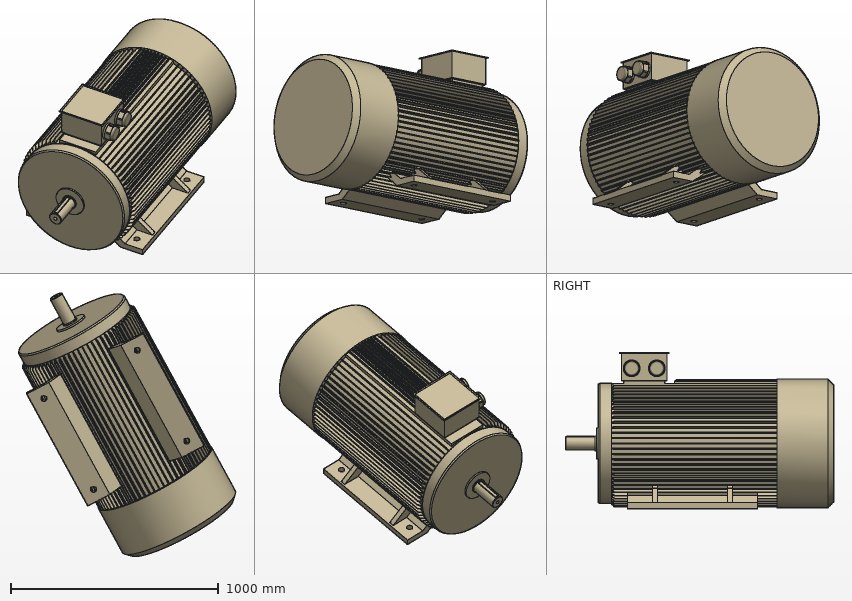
import cadquery as cq
import math


shaft_radius = 32.0
shaft_length = 140.0
collar_radius = 36.0
centre_hole_radius = 8.4
centre_hole_depth = 39.0
shaft_tip_chamfer = 3.0
key_width = 18.0
key_length = 129.0
key_front = 5.0
key_top = 36.0
key_bottom = 25.0

hub_radius = 75.0
hub_front = 147.0
shield_radius = 290.0
shield_front = 156.0
shield_face_radius = 285.0
shield_chamfer_length = 8.0
frame_radius = 288.0
frame_front = 219.0
cowl_diameter = 620.0
cowl_front = 1017.0
cowl_chamfer = 28.0
overall_length = 1290.0

fin_count = 72
fin_pitch_angle = 360 / fin_count
fin_thickness = 4.0
fin_tip_radius = 307.0
fin_nose_radius = 292.0
fin_nose_chamfer = fin_tip_radius - fin_nose_radius
fin_root_depth = 13.0
first_fin_angle = 25.0

pad_half_width = 99.0
pad_top = 289.0
pad_bottom = 232.0
pad_front = 228.0
pad_fin_count = 9
pad_fin_pitch = 19.0
pad_fin_front = 522.0
pad_fin_chamfer = 10.0

box_y = 378.0
box_size = 219.0
box_bottom = 299.0
box_edge_chamfer = 4.0
neck_size = 2 * pad_half_width
lid_size = 236.0
lid_thickness = 3.0
lid_top = 436.0

gland_spacing = 121.0
gland_z = 361.0
washer_end = 119.0
nut_end = 147.0
gland_end = 163.0
nut_across_flats = 72.0
nut_round_diameter = 80.0
cap_radius = 35.0
cap_fillet = 4.0

shaft_height = 315.0
foot_outer_x = 317.0
foot_thickness = 31.0
foot_bend_top_x = 222.0
foot_bend_bottom_x = 196.0
foot_inner_x = 103.0
foot_front = 297.0
foot_length = 627.0
foot_slope_angle = 37.0
foot_slope = math.tan(math.radians(foot_slope_angle))
gusset_outer_x = 307.0
gusset_thickness = 26.0
gusset_spacing = 361.0
foot_hole_diameter = 28.0
foot_hole_x = 254.0
foot_hole_spacing = 508.0


def cylinder(radius, y_start, y_end):
    """Solid cylinder on the shaft axis between two Y positions."""
    return cq.Workplane("XZ", origin=(0, y_start, 0)).circle(radius).extrude(y_start - y_end)


def block(x_size, y_size, y_centre, z_bottom, z_top):
    """Block centred on x = 0."""
    return (
        cq.Workplane("XY", origin=(0, y_centre, z_bottom))
        .rect(x_size, y_size)
        .extrude(z_top - z_bottom)
    )


def make_round_body():
    hub = cylinder(hub_radius, hub_front, shield_front)
    chamfer_end = shield_front + shield_chamfer_length
    shield_outline = [
        (0, shield_front),
        (shield_face_radius, shield_front),
        (shield_radius, chamfer_end),
        (shield_radius, frame_front),
        (0, frame_front),
    ]
    shield = cq.Workplane("XY").polyline(shield_outline).close().revolve(360, (0, 0), (0, 1))
    frame = cylinder(frame_radius, frame_front, cowl_front)
    cowl = cylinder(cowl_diameter / 2, cowl_front, overall_length)
    cowl = cowl.faces(">Y").edges().chamfer(cowl_chamfer)
    return frame.union(shield).union(cowl).union(hub)


def make_shaft():
    shaft = cylinder(shaft_radius, 0, hub_front).faces("<Y").edges().chamfer(shaft_tip_chamfer)
    collar = cylinder(collar_radius, shaft_length, hub_front)
    key = block(key_width, key_length, key_front + key_length / 2, key_bottom, key_top)
    return shaft.union(collar).union(key).cut(cylinder(centre_hole_radius, 0, centre_hole_depth))


def make_radial_fin():
    """One fin standing on the top of the frame."""
    root = frame_radius - fin_root_depth
    outline = [
        (frame_front, root),
        (frame_front, fin_nose_radius),
        (frame_front + fin_nose_chamfer, fin_tip_radius),
        (cowl_front, fin_tip_radius),
        (cowl_front, root),
    ]
    return cq.Workplane("YZ").polyline(outline).close().extrude(fin_thickness / 2, both=True)


def add_radial_fins(body):
    """Fins all round the frame, except across the pad on top."""
    fin = make_radial_fin()
    used_count = fin_count + 1 - round(2 * first_fin_angle / fin_pitch_angle)
    fins = []
    for index in range(used_count):
        angle = first_fin_angle + index * fin_pitch_angle
        fins.append(fin.rotate((0, 0, 0), (0, 1, 0), angle).val())
    return cq.Workplane(body.val().fuse(*fins))


def make_pad():
    pad_length = cowl_front - pad_front
    pad = block(2 * pad_half_width, pad_length, pad_front + pad_length / 2, pad_bottom, pad_top)
    outline = [
        (pad_fin_front, pad_bottom),
        (pad_fin_front, fin_tip_radius - pad_fin_chamfer),
        (pad_fin_front + pad_fin_chamfer, fin_tip_radius),
        (cowl_front, fin_tip_radius),
        (cowl_front, pad_bottom),
    ]
    fin = cq.Workplane("YZ").polyline(outline).close().extrude(fin_thickness / 2, both=True)
    for index in range(pad_fin_count):
        x = (index - (pad_fin_count - 1) / 2) * pad_fin_pitch
        pad = pad.union(fin.translate((x, 0, 0)))
    return pad.intersect(cylinder(fin_tip_radius, pad_front, cowl_front))


def make_gland(y):
    """Cable gland: washer, hexagon nut with rounded corners, and end cap."""
    face = cq.Workplane("YZ", origin=(0, y, gland_z))
    corner_diameter = nut_across_flats / math.cos(math.pi / 6)
    nut_round = face.circle(nut_round_diameter / 2).extrude(nut_end)
    nut = face.transformed(rotate=(0, 0, 90)).polygon(6, corner_diameter).extrude(nut_end)
    washer = face.circle(nut_round_diameter / 2).extrude(washer_end)
    cap = face.circle(cap_radius).extrude(gland_end).faces(">X").edges().fillet(cap_fillet)
    return nut.intersect(nut_round).union(washer).union(cap)


def make_terminal_box():
    neck = block(neck_size, neck_size, box_y, pad_bottom, box_bottom)
    box = block(box_size, box_size, box_y, box_bottom, lid_top - lid_thickness)
    box = box.faces("<Z").edges().chamfer(box_edge_chamfer)
    lid = block(lid_size, lid_size, box_y, lid_top - lid_thickness, lid_top)
    terminal_box = neck.union(box).union(lid)
    for side in (-1, 1):
        terminal_box = terminal_box.union(make_gland(box_y + side * gland_spacing / 2))
    return terminal_box


def make_foot():
    """Foot on the +X side: bent plate, two gussets and two bolt holes."""
    ground = -shaft_height
    plate_top = ground + foot_thickness
    foot_middle = foot_front + foot_length / 2

    def rise_to_inner(x):
        return (x - foot_inner_x) * foot_slope

    plate_outline = [
        (foot_outer_x, ground),
        (foot_bend_bottom_x, ground),
        (foot_inner_x, ground + rise_to_inner(foot_bend_bottom_x)),
        (foot_inner_x, plate_top + rise_to_inner(foot_bend_top_x)),
        (foot_bend_top_x, plate_top),
        (foot_outer_x, plate_top),
    ]
    gusset_outline = [
        (gusset_outer_x, plate_top),
        (foot_inner_x, plate_top + rise_to_inner(gusset_outer_x)),
        (foot_inner_x, plate_top + rise_to_inner(foot_bend_top_x)),
        (foot_bend_top_x, plate_top),
    ]
    middle_plane = cq.Workplane("XZ", origin=(0, foot_middle, 0))
    foot = middle_plane.polyline(plate_outline).close().extrude(foot_length / 2, both=True)
    gusset = middle_plane.polyline(gusset_outline).close().extrude(gusset_thickness / 2, both=True)
    for side in (-1, 1):
        foot = foot.union(gusset.translate((0, side * gusset_spacing / 2, 0)))

    hole_points = [(foot_hole_x, side * foot_hole_spacing / 2) for side in (-1, 1)]
    holes = (
        cq.Workplane("XY", origin=(0, foot_middle, ground))
        .pushPoints(hole_points)
        .circle(foot_hole_diameter / 2)
        .extrude(foot_thickness)
    )
    return foot.cut(holes)


foot = make_foot()
result = add_radial_fins(make_round_body())
result = result.union(make_shaft())
result = result.union(make_pad())
result = result.union(make_terminal_box())
result = result.union(foot).union(foot.mirror("YZ"))